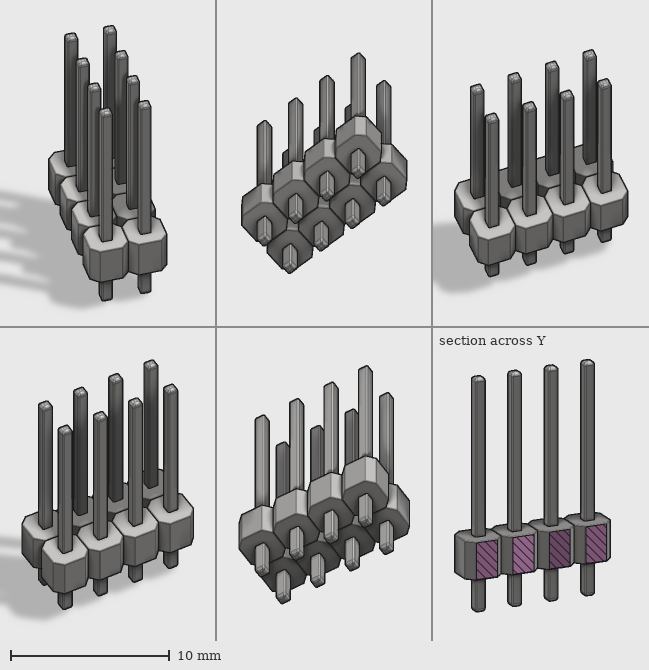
import cadquery as cq

columns = 4
rows = 2
pitch = 2.54

block_width = pitch
block_height = 2.54
block_cut_low = 0.54
block_cut_high = 0.5
block_edge_radius = 0.05

pin_width = 0.71
pin_offset_x = (block_cut_low - block_cut_high) / 2
pin_offset_y = 0.01
pin_above_block = 10.5
pin_below_block = 2.5
pin_length = pin_below_block + block_height + pin_above_block
pin_side_radius = 0.1
pin_tip_radius = 0.25


def make_block():
    """Octagonal block standing on Z = 0, with every edge slightly rounded."""
    side = block_width / 2
    flat_start = -side + block_cut_low
    flat_end = side - block_cut_high
    outline = [
        (flat_start, -side),
        (flat_end, -side),
        (side, flat_start),
        (side, flat_end),
        (flat_end, side),
        (flat_start, side),
        (-side, flat_end),
        (-side, flat_start),
    ]
    block = cq.Workplane("XY").polyline(outline).close().extrude(block_height)
    return block.edges().fillet(block_edge_radius)


def make_pin():
    """Square pin with softened long edges and rounded tips at both ends."""
    pin = cq.Workplane("XY").box(pin_width, pin_width, pin_length, centered=(True, True, False))
    pin = pin.edges("|Z").fillet(pin_side_radius)
    pin = pin.faces("<Z or >Z").edges().fillet(pin_tip_radius)
    return pin.translate((pin_offset_x, pin_offset_y, -pin_below_block))


def make_header_way():
    """One way of the header: the block and its pin as one solid."""
    return make_block().union(make_pin()).solids()


header_way = make_header_way()
header_ways = []
for column in range(columns):
    for row in range(rows):
        x = (column - (columns - 1) / 2) * pitch
        y = (row - (rows - 1) / 2) * pitch
        header_ways.append(header_way.translate((x, y, 0)).val())

result = cq.Compound.makeCompound(header_ways)